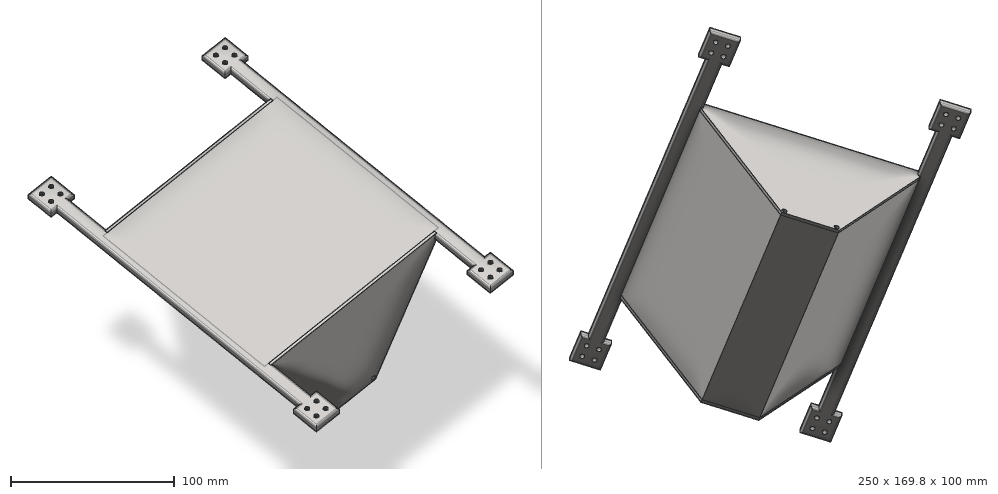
import cadquery as cq

rail_length = 250.0
pad_size = 20.0
rail_width = 10.0
rail_thickness = 6.0
rail_edge_radius = 1.5
overall_depth = 169.8
rail_offset = (overall_depth - pad_size) / 2
pad_offset = (rail_length - pad_size) / 2
pad_hole_spacing = 8.0
hole_diameter = 3.0

hopper_length = 140.0
hopper_height = 100.0
hopper_top_width = 2 * rail_offset
hopper_bottom_width = 37.5

cap_thickness = 2.0
cap_hole_spacing = 34.0
cap_hole_height = 3.0


def make_trapezoid_prism(start_x, length):
    """Hopper cross-section, extruded along +X from start_x."""
    half_top = hopper_top_width / 2
    half_bottom = hopper_bottom_width / 2
    return (
        cq.Workplane("YZ", origin=(start_x, 0, 0))
        .moveTo(-half_top, 0)
        .lineTo(half_top, 0)
        .lineTo(half_bottom, -hopper_height)
        .lineTo(-half_bottom, -hopper_height)
        .close()
        .extrude(length)
    )


def make_rail(center_y):
    """Straight bar with a drilled square pad at each end and rounded top and bottom edges."""
    base = cq.Workplane("XY", origin=(0, center_y, 0))
    pads = base.pushPoints([(-pad_offset, 0), (pad_offset, 0)])
    rail = (
        base.rect(2 * pad_offset, rail_width)
        .extrude(-rail_thickness)
        .union(pads.rect(pad_size, pad_size).extrude(-rail_thickness))
        .faces("<Z or >Z")
        .edges()
        .fillet(rail_edge_radius)
    )
    for pad_x in (-pad_offset, pad_offset):
        holes = (
            cq.Workplane("XY", origin=(pad_x, center_y, 0))
            .rarray(pad_hole_spacing, pad_hole_spacing, 2, 2)
            .circle(hole_diameter / 2)
            .extrude(-rail_thickness)
        )
        rail = rail.cut(holes)
    return rail


def make_hopper():
    """Hopper and its two rails as one solid; the rails end at the hopper's sloping walls."""
    core = make_trapezoid_prism(-hopper_length / 2, hopper_length)
    hopper = core
    for center_y in (-rail_offset, rail_offset):
        hopper = hopper.union(make_rail(center_y).cut(core), clean=False)
    return hopper


def make_end_cap(start_x, hopper):
    """Plate closing one hopper end, drilled at its lower corners and notched for the rails."""
    holes = (
        cq.Workplane("YZ", origin=(start_x, 0, cap_hole_height - hopper_height))
        .pushPoints([(-cap_hole_spacing / 2, 0), (cap_hole_spacing / 2, 0)])
        .circle(hole_diameter / 2)
        .extrude(cap_thickness)
    )
    return make_trapezoid_prism(start_x, cap_thickness).cut(holes).cut(hopper)


hopper = make_hopper()
end_caps = [
    make_end_cap(start_x, hopper)
    for start_x in (-hopper_length / 2 - cap_thickness, hopper_length / 2)
]

result = cq.Compound.makeCompound([hopper.solids().val(), *[cap.solids().val() for cap in end_caps]])